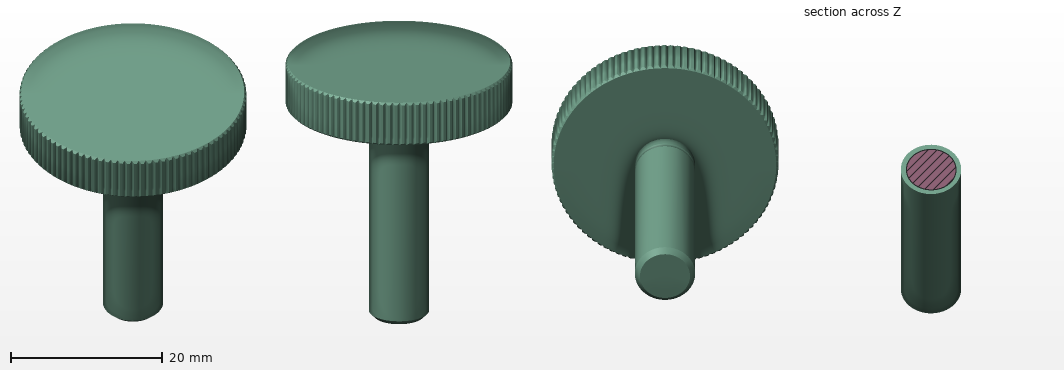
import cadquery as cq
import math

total_height = 36.0
head_diameter = 30.0
head_height = 6.0
head_chamfer = 0.3

shank_diameter = 8.0
shank_chamfer = 0.7
collar_height = 1.98

knurl_count = 100
knurl_depth = head_chamfer
knurl_angle = 90.0

head_radius = head_diameter / 2
shank_radius = shank_diameter / 2
shank_end_radius = shank_radius - shank_chamfer
head_bottom = total_height - head_height
shank_top = head_bottom - collar_height
knurl_root_radius = head_radius - knurl_depth


def knurled_outline():
    """Closed outline of the head: arc-topped teeth between V-grooves, a groove on each axis."""
    groove_half_width = knurl_depth * math.tan(math.radians(knurl_angle / 2))
    groove_half_step = math.asin(groove_half_width / head_radius)
    pitch = 2 * math.pi / knurl_count

    def polar(radius, angle):
        return (radius * math.cos(angle), radius * math.sin(angle))

    outline = cq.Workplane("XY").workplane(offset=head_bottom).moveTo(knurl_root_radius, 0)
    for tooth in range(knurl_count):
        start = tooth * pitch
        end = start + pitch
        outline = outline.lineTo(*polar(head_radius, start + groove_half_step))
        outline = outline.threePointArc(
            polar(head_radius, start + pitch / 2),
            polar(head_radius, end - groove_half_step),
        )
        if tooth < knurl_count - 1:
            outline = outline.lineTo(*polar(knurl_root_radius, end))
    return outline.close()


def make_head():
    """Knurled disc whose teeth are chamfered at both rims."""
    chamfered_disc = (
        cq.Workplane("XY")
        .workplane(offset=head_bottom)
        .circle(head_radius)
        .extrude(head_height)
        .edges()
        .chamfer(head_chamfer)
    )
    return knurled_outline().extrude(head_height).intersect(chamfered_disc)


def make_shank():
    """Shank with a chamfered tip, and a collar tapering down to the shank's shoulder."""
    profile = [
        (0, 0),
        (shank_end_radius, 0),
        (shank_radius, shank_chamfer),
        (shank_radius, shank_top),
        (shank_end_radius, shank_top),
        (shank_radius, shank_top + shank_chamfer),
        (shank_radius, head_bottom),
        (0, head_bottom),
    ]
    return cq.Workplane("XZ").polyline(profile).close().revolve(360, (0, 0, 0), (0, 1, 0))


result = make_head().union(make_shank())